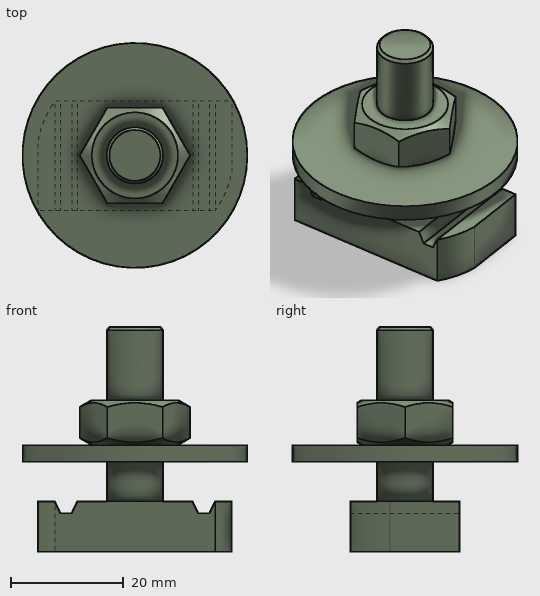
import cadquery as cq
import math

total_height = 40
head_height = 9.0
washer_bottom = 16
washer_thickness = 3.0
nut_height = 8
washer_top = washer_bottom + washer_thickness

stud_diameter = 10
stud_chamfer_height = 0.6
stud_chamfer_inset = 0.5
washer_diameter = 40
nut_across_flats = 17.0
nut_face_diameter = 0.9 * nut_across_flats
nut_chamfer_angle = math.radians(30)

head_length = 34.45
head_width = 19.45
corner_flat_end = 2.7
corner_setback = 2.95
corner_radius = 17.2
groove_offset = 12.25
groove_top_width = 4
groove_floor_width = 2
groove_depth = 2.1


def make_head():
    """T-slot head with two opposite corners rounded and two grooves across the top."""
    half_length = head_length / 2
    half_width = head_width / 2
    arc_end_x = half_length - corner_setback
    head = (
        cq.Workplane("XY")
        .moveTo(-half_length, -half_width)
        .lineTo(arc_end_x, -half_width)
        .radiusArc((half_length, -corner_flat_end), -corner_radius)
        .lineTo(half_length, half_width)
        .lineTo(-arc_end_x, half_width)
        .radiusArc((-half_length, corner_flat_end), -corner_radius)
        .close()
        .extrude(head_height)
    )
    for center_x in (-groove_offset, groove_offset):
        groove = (
            cq.Workplane("XZ")
            .polyline([
                (center_x - groove_top_width / 2, head_height),
                (center_x - groove_floor_width / 2, head_height - groove_depth),
                (center_x + groove_floor_width / 2, head_height - groove_depth),
                (center_x + groove_top_width / 2, head_height),
            ])
            .close()
            .extrude(head_width, both=True)
        )
        head = head.cut(groove)
    return head


def make_nut():
    """Hexagon nut with corners on the X axis and both ends chamfered."""
    across_corners = nut_across_flats / math.cos(math.radians(30))
    hexagon_radius = across_corners / 2
    face_radius = nut_face_diameter / 2
    chamfer_drop = (hexagon_radius - face_radius) * math.tan(nut_chamfer_angle)
    hexagon = cq.Workplane("XY").polygon(6, across_corners).extrude(nut_height)
    chamfer_envelope = (
        cq.Workplane("XZ")
        .polyline([
            (0, 0),
            (face_radius, 0),
            (hexagon_radius, chamfer_drop),
            (hexagon_radius, nut_height - chamfer_drop),
            (face_radius, nut_height),
            (0, nut_height),
        ])
        .close()
        .revolve(360, (0, 0, 0), (0, 1, 0))
    )
    return hexagon.intersect(chamfer_envelope).translate((0, 0, washer_top))


stud = (
    cq.Workplane("XY")
    .circle(stud_diameter / 2)
    .extrude(total_height)
    .faces(">Z")
    .edges()
    .chamfer(stud_chamfer_height, stud_chamfer_inset)
)
washer = (
    cq.Workplane("XY")
    .workplane(offset=washer_bottom)
    .circle(washer_diameter / 2)
    .extrude(washer_thickness)
)

result = make_head().union(stud).union(washer).union(make_nut())